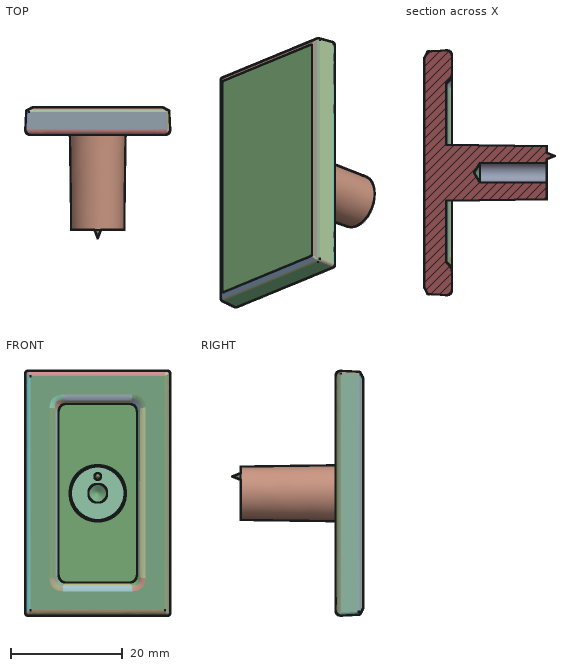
import cadquery as cq
import math

plate_width = 26.0
plate_height = 43.89
plate_thickness = 5.0
post_length = 17.0
pin_length = 1.5

plate_draft = 3.0
rim_radius = 1.0
bevel_depth = 0.6
bevel_inset = 1.2
bevel_radius = 0.5
corner_radius = 0.5

floor_width = 14.0
floor_height = 32.0
pocket_corner_radius = 2.0
pocket_depth = 1.0
pocket_draft = 45.0
mouth_radius = 1.5

post_base_diameter = 10.1
post_end_diameter = 9.6
hole_diameter = 3.4
hole_depth = 12.0
drill_point_angle = 118.0
pin_diameter = 1.2
pin_offset = 3.0

floor_y = pocket_depth
post_end_y = -post_length


def xz_plane(y):
    """Plane at the given Y, with X and Z in the sketch and its normal toward -Y."""
    return cq.Workplane("XZ", origin=(0, y, 0))


def make_cone(radius, tip_radius, start_y, end_y, center_z=0.0):
    """Cone along Y from start_y to end_y."""
    direction = cq.Vector(0, math.copysign(1, end_y - start_y), 0)
    start = cq.Vector(0, start_y, center_z)
    return cq.Workplane(cq.Solid.makeCone(radius, tip_radius, abs(end_y - start_y), start, direction))


def make_frustum(back_y, back_width, back_height, front_y, growth):
    """Rectangular block that widens by growth on every side toward -Y."""
    return (
        xz_plane(back_y)
        .rect(back_width, back_height)
        .workplane(offset=back_y - front_y)
        .rect(back_width + 2 * growth, back_height + 2 * growth)
        .loft(ruled=True)
    )


def make_plate():
    """Drafted block with a bevelled back and rounded edges.

    Its sharp front outline is sized so that the rounded front rim meets the overall size.
    """
    rim_loss = rim_radius * (math.tan(math.radians(45 + plate_draft / 2)) - 1)
    wall_depth = plate_thickness - bevel_depth
    wall_growth = wall_depth * math.tan(math.radians(plate_draft))
    wall_back_width = plate_width + 2 * (rim_loss - wall_growth)
    wall_back_height = plate_height + 2 * (rim_loss - wall_growth)
    back_width = wall_back_width - 2 * bevel_inset
    back_height = wall_back_height - 2 * bevel_inset

    wall = make_frustum(wall_depth, wall_back_width, wall_back_height, 0, wall_growth)
    bevel = make_frustum(plate_thickness, back_width, back_height, wall_depth, bevel_inset)
    block = wall.union(bevel)
    block = block.edges("#Y and (not (<Y or >Y))").fillet(bevel_radius)
    block = block.faces("<Y").edges().fillet(rim_radius)
    corner_edges = block.edges("not(#Y)")
    return corner_edges.fillet(corner_radius)


def cut_pocket(plate):
    """Pocket that widens from its floor to the plate front, with a rounded mouth."""
    growth = pocket_depth * math.tan(math.radians(pocket_draft))
    frustum = make_frustum(floor_y, floor_width, floor_height, 0, growth)
    pocket = frustum.edges("not(#Y)").fillet(pocket_corner_radius)
    recessed = plate.cut(pocket)
    mouth = recessed.faces("<Y").val().innerWires()[0]
    return recessed.newObject(mouth.Edges()).fillet(mouth_radius)


def make_post():
    return make_cone(post_base_diameter / 2, post_end_diameter / 2, floor_y, post_end_y)


def make_hole():
    """Blind hole from the post end with a conical drill point."""
    radius = hole_diameter / 2
    bottom_y = post_end_y + hole_depth
    point_length = radius / math.tan(math.radians(drill_point_angle / 2))
    bore = xz_plane(bottom_y).circle(radius).extrude(hole_depth)
    return bore.union(make_cone(radius, 0, bottom_y, bottom_y + point_length))


def make_pin():
    return make_cone(pin_diameter / 2, 0, post_end_y, post_end_y - pin_length, pin_offset)


knob = cut_pocket(make_plate()).union(make_post())
result = knob.cut(make_hole()).union(make_pin())